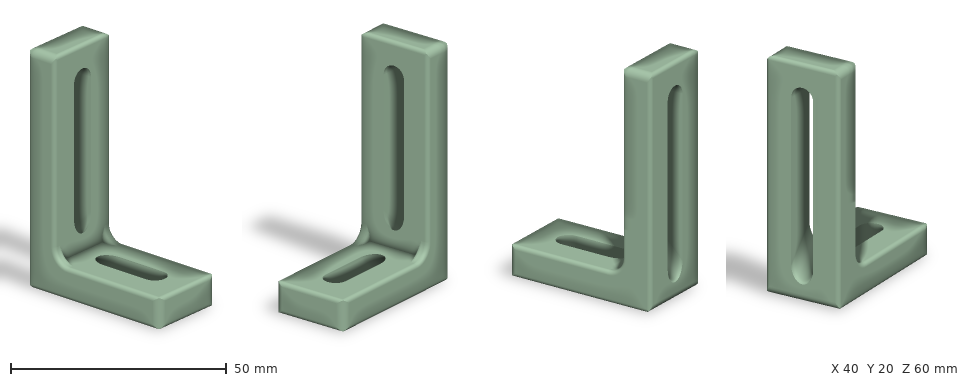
import cadquery as cq
import math

height = 60.0
length = height * 2 / 3
width = height / 3
thickness = width * 0.4

small_round = thickness / 8
large_round = 2 * small_round

slot_width = 6.0
leg_slot_margin = 6.0
foot_slot_margin = 6.95
slot_axis_offset = 8.9

gusset_radius = thickness / 2
gusset_width = 3 * small_round


def sharp_block(size_x, size_z):
    """Full-width block standing on the XY plane with its back face on the YZ plane."""
    return cq.Workplane("XY").box(size_x, width, size_z, centered=(False, True, False))


def bracket_body():
    """Two legs with mitred edge rounds and a sharp inner corner."""
    leg = sharp_block(thickness, height).edges("|Z").fillet(small_round)
    foot = sharp_block(length, thickness).edges("|X").fillet(small_round)

    side_limit = sharp_block(length, height)
    side_limit = side_limit.edges("|X and >Z").fillet(large_round)
    side_limit = side_limit.edges("|X and <Z").fillet(small_round)

    plan_limit = sharp_block(length, height)
    plan_limit = plan_limit.edges("|Z and >X").fillet(large_round)
    plan_limit = plan_limit.edges("|Z and <X").fillet(small_round)

    leg_limit = sharp_block(thickness, height)
    leg_limit = leg_limit.edges("|Y and >Z").fillet(small_round)
    foot_limit = sharp_block(length, thickness)
    foot_limit = foot_limit.edges("|Y and >X").fillet(small_round)
    profile_limit = leg_limit.union(foot_limit)
    profile_limit = profile_limit.edges("|Y and <X and <Z").fillet(large_round)

    body = leg.union(foot)
    return body.intersect(side_limit).intersect(plan_limit).intersect(profile_limit)


def corner_gusset():
    """Concave web at the -Y side of the inner corner, rounded along both curved edges."""
    center = thickness + gusset_radius
    reach = gusset_radius + small_round
    ring_outer = 2 * reach
    ring = (
        cq.Workplane("XY")
        .circle(ring_outer)
        .circle(gusset_radius)
        .extrude(gusset_width)
        .edges(cq.selectors.RadiusNthSelector(0))
        .fillet(small_round)
        .rotate((0, 0, 0), (1, 0, 0), -90)
        .translate((center, -width / 2, center))
    )
    corner = (
        cq.Workplane("XY")
        .box(reach, gusset_width, reach, centered=False)
        .translate((center - reach, -width / 2, center - reach))
    )
    return ring.intersect(corner)


def leg_slot():
    """Cutter for the tall leg's slot: round upper end, 45 degree sloped lower end."""
    start = -thickness
    end = 2 * thickness
    top_center = height - leg_slot_margin - slot_width / 2
    middle = (
        cq.Workplane("XZ")
        .polyline([
            (start, start + slot_axis_offset),
            (end, end + slot_axis_offset),
            (end, top_center),
            (start, top_center),
        ])
        .close()
        .extrude(slot_width / 2, both=True)
    )
    upper_end = cq.Workplane("YZ", origin=(start, 0, top_center)).circle(slot_width / 2).extrude(end - start)
    slope = cq.Plane(origin=(start, 0, start + slot_axis_offset), xDir=(0, 1, 0), normal=(1, 0, 1))
    sloped_end = cq.Workplane(slope).circle(slot_width / 2).extrude((end - start) * math.sqrt(2))
    return middle.union(upper_end).union(sloped_end).intersect(sharp_block(thickness, height))


def foot_slot():
    """The same kind of slot in the foot: the leg slot with X and Z swapped, shortened."""
    swapped = leg_slot().rotate((0, 0, 0), (1, 0, 1), 180)
    end_center = length - foot_slot_margin - slot_width / 2
    rounded_end = cq.Workplane("XY").center(end_center, 0).circle(slot_width / 2).extrude(thickness)
    return swapped.intersect(sharp_block(end_center, thickness)).union(rounded_end)


gusset = corner_gusset()
result = (
    bracket_body()
    .union(gusset)
    .union(gusset.mirror("XZ"))
    .cut(leg_slot())
    .cut(foot_slot())
)